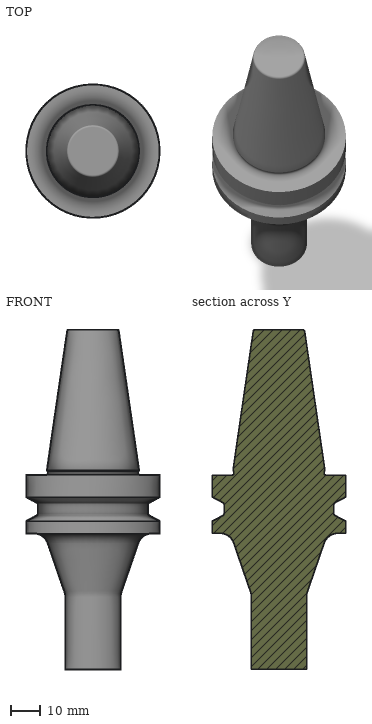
import cadquery as cq
import math

total_height = 117.1

shank_radius = 19.2 / 2
shank_top = 25.2
neck_half_angle = math.radians(19)
shank_blend_radius = 5.0
flange_blend_radius = 4.8

flange_radius = 46.0 / 2
flange_bottom = 46.8
flange_top = 67.1
groove_radius = 38.0 / 2
groove_lower_edge = 51.2
groove_floor_bottom = 53.3
groove_floor_top = 57.3
groove_upper_edge = groove_floor_top + groove_floor_bottom - groove_lower_edge
groove_fillet_radius = 0.5

relief_radius = 31.3 / 2
relief_top = 68.3
relief_fillet_radius = 0.5
taper_bottom = 68.6
taper_large_radius = 15.9
taper_ratio = 7 / 24
taper_small_radius = taper_large_radius - (total_height - taper_bottom) * taper_ratio / 2
tip_round_radius = 0.7


def arc_point(center, radius, angle):
    """Return the point at an angle on a circle in the radius-height plane."""
    return (center[0] + radius * math.cos(angle), center[1] + radius * math.sin(angle))


shank_blend_center = (shank_radius + shank_blend_radius, shank_top)
shank_blend_end_angle = math.pi - neck_half_angle
shank_blend_mid = arc_point(shank_blend_center, shank_blend_radius, math.pi - neck_half_angle / 2)
neck_start = arc_point(shank_blend_center, shank_blend_radius, shank_blend_end_angle)

flange_blend_center_z = flange_bottom - flange_blend_radius
neck_end_z = flange_blend_center_z + flange_blend_radius * math.sin(neck_half_angle)
neck_end_radius = neck_start[0] + (neck_end_z - neck_start[1]) * math.tan(neck_half_angle)
flange_blend_center = (
    neck_end_radius + flange_blend_radius * math.cos(neck_half_angle),
    flange_blend_center_z,
)
flange_blend_mid_angle = (shank_blend_end_angle + math.pi / 2) / 2
flange_blend_mid = arc_point(flange_blend_center, flange_blend_radius, flange_blend_mid_angle)

half_profile = (
    cq.Workplane("XZ")
    .lineTo(shank_radius, 0)
    .lineTo(shank_radius, shank_top)
    .threePointArc(shank_blend_mid, neck_start)
    .lineTo(neck_end_radius, neck_end_z)
    .threePointArc(flange_blend_mid, (flange_blend_center[0], flange_bottom))
    .lineTo(flange_radius, flange_bottom)
    .lineTo(flange_radius, groove_lower_edge)
    .lineTo(groove_radius, groove_floor_bottom)
    .lineTo(groove_radius, groove_floor_top)
    .lineTo(flange_radius, groove_upper_edge)
    .lineTo(flange_radius, flange_top)
    .lineTo(relief_radius + relief_fillet_radius, flange_top)
    .radiusArc((relief_radius, flange_top + relief_fillet_radius), relief_fillet_radius)
    .lineTo(relief_radius, relief_top)
    .lineTo(taper_large_radius, taper_bottom)
    .lineTo(taper_small_radius, total_height)
    .lineTo(0, total_height)
    .close()
)

body = half_profile.revolve(360, (0, 0, 0), (0, 1, 0))

body = (
    body.edges("%CIRCLE")
    .filter(lambda edge: math.isclose(edge.radius(), groove_radius, abs_tol=1.17e-06))
    .fillet(groove_fillet_radius)
)

result = body.faces(">Z").edges().fillet(tip_round_radius)